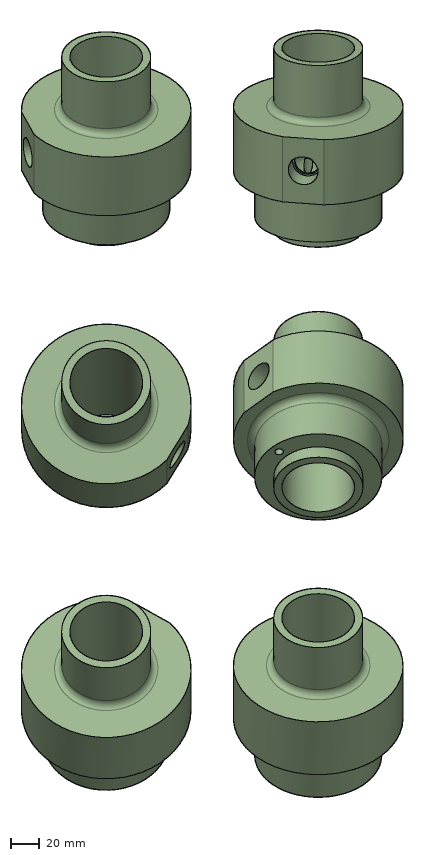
import cadquery as cq
import math

total_height = 140.0
tube_diameter = 63.0
bore_diameter = 51.2
body_diameter = 90.0
body_bottom = 10.0
flange_diameter = 120.0
flange_bottom = 45.0
flange_top = 95.0
fillet_radius = 5.0

flat_distance = 58.1

port_height = 70.0
port_mouth_diameter = 21.3
port_taper_end_diameter = 20.6
port_taper_depth = 15.0
drill_diameter = 18.0
drill_depth = 17.2
drill_tip_angle = 118.0

passage_diameter = 6.0


def cylinder(diameter, bottom, top):
    return cq.Workplane("XY").workplane(offset=bottom).circle(diameter / 2).extrude(top - bottom)


def root_fillet(wall_diameter, face_height, direction):
    """Concave ring joining a cylindrical wall to the flange face; direction is +1 up or -1 down."""
    wall_radius = wall_diameter / 2
    outer_radius = wall_radius + fillet_radius
    far_height = face_height + direction * fillet_radius
    arc_reach = fillet_radius * math.sqrt(0.5)
    arc_middle = (outer_radius - arc_reach, far_height - direction * arc_reach)
    inner_radius = bore_diameter / 2
    return (
        cq.Workplane("XZ")
        .moveTo(inner_radius, face_height)
        .lineTo(outer_radius, face_height)
        .threePointArc(arc_middle, (wall_radius, far_height))
        .lineTo(inner_radius, far_height)
        .close()
        .revolve(360, (0, 0, 0), (0, 1, 0))
    )


def port_cutter():
    """Tapered mouth, straight drill and conical tip, revolved about the port axis along Y."""
    drill_radius = drill_diameter / 2
    tip_length = drill_radius / math.tan(math.radians(drill_tip_angle / 2))
    taper_end = -flat_distance + port_taper_depth
    drill_end = -flat_distance + drill_depth
    return (
        cq.Workplane("XY")
        .moveTo(0, -flat_distance)
        .lineTo(port_mouth_diameter / 2, -flat_distance)
        .lineTo(port_taper_end_diameter / 2, taper_end)
        .lineTo(drill_radius, taper_end)
        .lineTo(drill_radius, drill_end)
        .lineTo(0, drill_end + tip_length)
        .close()
        .revolve(360, (0, 0, 0), (0, 1, 0))
        .translate((0, 0, port_height))
    )


def passage_cutter():
    """Flat-ended hole centred on the lower shoulder, below the port."""
    shoulder_mid_radius = (tube_diameter + body_diameter) / 4
    return cylinder(passage_diameter, body_bottom, port_height).translate((0, -shoulder_mid_radius, 0))


flange = cylinder(flange_diameter, flange_bottom, flange_top)
flat_cutter = cq.Workplane("XY").box(
    flange_diameter, flange_diameter, total_height, centered=(True, False, False)
).translate((0, -flat_distance - flange_diameter, 0))
flange = flange.cut(flat_cutter)

result = (
    flange
    .union(cylinder(tube_diameter, 0, total_height))
    .union(cylinder(body_diameter, body_bottom, flange_bottom))
    .union(root_fillet(tube_diameter, flange_top, 1))
    .union(root_fillet(body_diameter, flange_bottom, -1))
)

result = (
    result
    .cut(cylinder(bore_diameter, 0, total_height))
    .cut(port_cutter())
    .cut(passage_cutter())
)